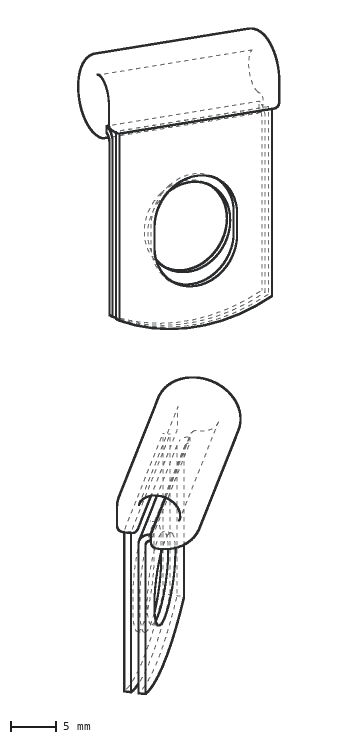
import cadquery as cq
import math

loop_bore_radius = 2.38125
cushion_wall = 0.79375
cushion_edge_radius = 0.762
strap_thickness = 0.80625
strap_width = 19.05
overall_height = 31.75
strap_gap = 0.79375
bend_inner_radius = 0.79375
cushion_lip_x = 0.95
hole_radius = 5.16
hole_depth_below_axis = 15.875
far_slot_travel = 2.38125
tail_radius = 22.225

strap_inner_radius = loop_bore_radius + cushion_wall
strap_outer_radius = strap_inner_radius + strap_thickness
loop_outer_radius = strap_outer_radius + cushion_wall
cushion_length = strap_width + 2 * cushion_wall
cushion_straight = loop_bore_radius
cushion_bottom_z = -(cushion_straight + cushion_wall)
near_leg_outer_x = strap_inner_radius - strap_gap
foot_middle_x = (loop_bore_radius + loop_outer_radius) / 2
lip_middle_z = -foot_middle_x
near_leg_inner_x = near_leg_outer_x - strap_thickness
bend_outer_radius = bend_inner_radius + strap_thickness
bend_x = near_leg_outer_x - bend_outer_radius
bend_z = -(strap_inner_radius + bend_outer_radius)
tail_bottom_z = loop_outer_radius - overall_height
hole_z = -hole_depth_below_axis
tail_sagitta = tail_radius - math.sqrt(tail_radius**2 - (strap_width / 2) ** 2)
tail_corner_z = tail_bottom_z + tail_sagitta
diagonal = math.cos(math.radians(45))


def extrude_along_y(profile, length):
    """Extrude an XZ profile symmetrically about Y = 0."""
    return profile.extrude(length / 2, both=True)


def make_cushion():
    """Cushion hooked around the loop, with all of its outer edges rounded over."""
    profile = (
        cq.Workplane("XZ")
        .moveTo(loop_outer_radius, cushion_bottom_z)
        .lineTo(loop_outer_radius, 0)
        .threePointArc(
            (-loop_outer_radius * diagonal, loop_outer_radius * diagonal),
            (0, -loop_outer_radius),
        )
        .lineTo(cushion_lip_x, -loop_outer_radius)
        .lineTo(cushion_lip_x, -loop_bore_radius)
        .lineTo(0, -loop_bore_radius)
        .threePointArc(
            (-loop_bore_radius * diagonal, loop_bore_radius * diagonal),
            (loop_bore_radius, 0),
        )
        .lineTo(loop_bore_radius, cushion_bottom_z)
        .close()
    )
    hook = extrude_along_y(profile, cushion_length)
    foot = hook.faces(cq.NearestToPointSelector((foot_middle_x, 0, cushion_bottom_z)))
    lip = hook.faces(cq.NearestToPointSelector((cushion_lip_x, 0, lip_middle_z)))
    side_edges = hook.faces("<Y or >Y").edges()
    return side_edges.add(foot.edges("|Y")).add(lip.edges("|Y")).fillet(cushion_edge_radius)


def make_near_leg():
    """Strap leg that leaves the cushion lip and bends down, with a round hole."""
    strap_start_x = 0
    profile = (
        cq.Workplane("XZ")
        .moveTo(strap_start_x, -strap_inner_radius)
        .lineTo(bend_x, -strap_inner_radius)
        .threePointArc(
            (bend_x + bend_outer_radius * diagonal, bend_z + bend_outer_radius * diagonal),
            (near_leg_outer_x, bend_z),
        )
        .lineTo(near_leg_outer_x, tail_bottom_z)
        .lineTo(near_leg_inner_x, tail_bottom_z)
        .lineTo(near_leg_inner_x, bend_z)
        .threePointArc(
            (bend_x + bend_inner_radius * diagonal, bend_z + bend_inner_radius * diagonal),
            (bend_x, -strap_outer_radius),
        )
        .lineTo(strap_start_x, -strap_outer_radius)
        .close()
    )
    hole = cq.Workplane("YZ").center(0, hole_z).circle(hole_radius).extrude(loop_outer_radius)
    return extrude_along_y(profile, strap_width).cut(hole)


def make_far_leg():
    """Straight strap leg below the cushion foot, with an upright slot."""
    upright_angle = 90
    leg = (
        cq.Workplane("XY")
        .box(strap_thickness, strap_width, -tail_bottom_z, centered=(False, True, False))
        .translate((strap_inner_radius, 0, tail_bottom_z))
    )
    slot = (
        cq.Workplane("YZ")
        .center(0, hole_z)
        .slot2D(far_slot_travel + 2 * hole_radius, 2 * hole_radius, upright_angle)
        .extrude(loop_outer_radius)
    )
    return leg.cut(slot)


def make_tail_envelope():
    """Side outline of the legs, ending in a shallow arc along the bottom."""
    return (
        cq.Workplane("YZ")
        .moveTo(-strap_width / 2, 0)
        .lineTo(-strap_width / 2, tail_corner_z)
        .threePointArc((0, tail_bottom_z), (strap_width / 2, tail_corner_z))
        .lineTo(strap_width / 2, 0)
        .close()
        .extrude(loop_outer_radius)
    )


legs = make_near_leg().union(make_far_leg()).intersect(make_tail_envelope())
result = make_cushion().union(legs)